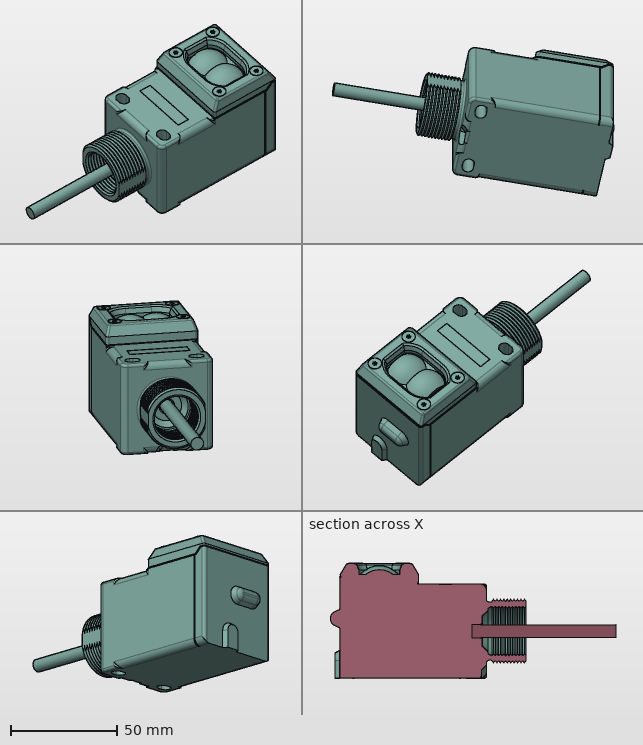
import cadquery as cq
import math


CABLE_END_Y = -61.0

WIDTH = 44.5
HALF_WIDTH = WIDTH / 2
HOUSING_HEIGHT = 44.5
BACK_Y = 69.3
BACK_PLATE_TOP = 47.7
BACK_PLATE_THICKNESS = 2.8
FRONT_CORNER_RADIUS = 3.1
BACK_CORNER_RADIUS = 1.6
EDGE_RADIUS = 1.3

RELIEF_RADIUS = 3.2
RELIEF_END_RADIUS = 2.7
RELIEF_OVERSHOOT = 0.3
RELIEF_UNDER_HEAD = 0.7
FRONT_RELIEF_HALF_LENGTH = 11.7
SIDE_RELIEF_START = 10.1

HEAD_FRONT_Y = 32.0
HEAD_BACK_Y = 69.0
HEAD_LENGTH = HEAD_BACK_Y - HEAD_FRONT_Y
HEAD_CENTER_Y = (HEAD_FRONT_Y + HEAD_BACK_Y) / 2
HEAD_SHOULDER_Z = 49.0
HEAD_TOP_Z = 54.1
HEAD_SIDE_TAPER = 1.7
HEAD_END_TAPER = 3.1
HEAD_EDGE_RADIUS = 1.2

GROOVE_WIDTH = 0.4
GROOVE_DEPTH = 0.4
BACK_GROOVE_Y = 62.5

LENS_SPACING = 12.5
WINDOW_RADIUS = 11.6
WINDOW_HALF_WIDTH = 15.9
WINDOW_RIM_WIDTH = 1.1
WINDOW_RIM_DEPTH = 0.7
WINDOW_WALL_TAPER = 1.0
WINDOW_WALL_DEPTH = 2.4
WINDOW_DEPTH = 5.1
LENS_BASE_RADIUS = 9.0
LENS_HEIGHT = 4.0
LENS_HALF_SPAN = 12.8
LENS_SEAT = 0.4

SCREW_SPACING_X = 33.1
SCREW_SPACING_Y = 22.2
SCREW_RADIUS = 3.16
SCREW_RISE = 0.3
STAR_LENGTH = 2.2
STAR_BAR_WIDTH = 0.3
STAR_DEPTH = 0.5

LABEL_LENGTH = 29.1
LABEL_WIDTH = 6.0
LABEL_Y = 19.4
LABEL_DEPTH = 0.1
SLOT_LENGTH = 7.3
SLOT_WIDTH = 5.4
SLOT_SPACING = 31.0
SLOT_Y = 6.7

NOTCH_MOUTH_APEX_Z = 7.4
NOTCH_MOUTH_TOP_Z = 6.3
NOTCH_FLOOR_APEX_Z = 4.0
NOTCH_FLOOR_TOP_Z = 3.9
NOTCH_DEPTH = 2.4

BUTTON_X = -4.8
BUTTON_Z = 28.1
BUTTON_HEIGHT = 134.6 + CABLE_END_Y - BACK_Y
BUTTON_END_SPACING = 9.4
BUTTON_RADIUS = 4.5
BUTTON_TAPER_ANGLE = 26
BUTTON_TIP_RADIUS = 3.0
BOSS_X = 5.1
BOSS_Z = 8.5
BOSS_RADIUS = 4.7
BOSS_HEIGHT = 2.2
BOSS_TAPER_ANGLE = 30

CABLE_AXIS_Z = HOUSING_HEIGHT / 2
COLLAR_RADIUS = 13.9
COLLAR_FLARE = 1.1
COLLAR_LENGTH = 2.4
THREAD_END_Y = -18.6
THREAD_RADIUS = 15.1
THREAD_DEPTH = 1.0
THREAD_TURNS = 10
THREAD_PITCH = (-COLLAR_LENGTH - THREAD_END_Y) / THREAD_TURNS
THREAD_FLAT_HALF_WIDTH = 13.8
BORE_RADIUS = 10.6
CONE_MOUTH_Y = -0.7
CONE_MOUTH_RADIUS = 9.7
CONE_FLOOR_RADIUS = 7.1
CONE_DEPTH = 2.7
CABLE_RADIUS = 3.1
CABLE_INNER_Y = 6.7
CABLE_SINK = 0.7


def box(x0, x1, y0, y1, z0, z1):
    """Axis-aligned block between two corners."""
    return cq.Workplane("XY").box(x1 - x0, y1 - y0, z1 - z0, centered=False).translate((x0, y0, z0))


def cable_plane(y):
    """Work plane on the cable axis at height y along it, facing -Y."""
    return cq.Workplane("XZ", origin=(0, y, CABLE_AXIS_Z))


def make_block():
    """Main block, with a back plate that rises behind the head."""
    front = box(-HALF_WIDTH, HALF_WIDTH, 0, HEAD_FRONT_Y, 0, HOUSING_HEIGHT)
    front = front.edges("|Z and <Y").fillet(FRONT_CORNER_RADIUS)
    front = front.edges("(>Z or <Z) and (not >Y)").fillet(EDGE_RADIUS)

    plate_front_y = BACK_Y - BACK_PLATE_THICKNESS
    rise = BACK_PLATE_TOP - HOUSING_HEIGHT
    rear = (
        cq.Workplane("YZ", origin=(-HALF_WIDTH, 0, 0))
        .polyline([
            (HEAD_FRONT_Y, 0),
            (BACK_Y, 0),
            (BACK_Y, BACK_PLATE_TOP),
            (plate_front_y, BACK_PLATE_TOP),
            (plate_front_y - rise, HOUSING_HEIGHT),
            (HEAD_FRONT_Y, HOUSING_HEIGHT),
        ])
        .close()
        .extrude(WIDTH)
        .edges("|Z and >Y")
        .fillet(BACK_CORNER_RADIUS)
    )
    return front.union(rear)


def edge_relief(start, end, origin, along, up):
    """Cutter that rounds one edge from start to end, leaving round-cornered pads beyond both ends."""
    depth = RELIEF_RADIUS
    over = RELIEF_OVERSHOOT
    bend = RELIEF_END_RADIUS
    bend_mid = bend * math.sqrt(0.5)
    prism = (
        cq.Workplane("XY", origin=(0, 0, -depth))
        .moveTo(start, over)
        .lineTo(end, over)
        .lineTo(end, 0)
        .threePointArc((end - bend_mid, bend_mid - bend), (end - bend, -bend))
        .lineTo(end - bend, -depth)
        .lineTo(start + bend, -depth)
        .lineTo(start + bend, -bend)
        .threePointArc((start + bend_mid, bend_mid - bend), (start, 0))
        .close()
        .extrude(depth + over)
    )
    round_core = (
        cq.Workplane("YZ", origin=(start, 0, 0))
        .center(-depth, -depth)
        .circle(depth)
        .extrude(end - start)
    )
    place = cq.Location(cq.Plane(origin=origin, xDir=along, normal=up))
    return prism.cut(round_core).val().moved(place)


def cut_reliefs(body):
    top = HOUSING_HEIGHT
    half = FRONT_RELIEF_HALF_LENGTH
    side_top_end = HEAD_FRONT_Y + RELIEF_UNDER_HEAD
    side_bottom_end = BACK_Y + RELIEF_RADIUS
    up = (0, 0, 1)
    down = (0, 0, -1)

    body = body.cut(edge_relief(-half, half, (0, 0, top), (-1, 0, 0), up))
    body = body.cut(edge_relief(-half, half, (0, 0, 0), (1, 0, 0), down))

    left = (-HALF_WIDTH, 0)
    right = (HALF_WIDTH, 0)
    body = body.cut(edge_relief(SIDE_RELIEF_START, side_top_end, (*left, top), (0, 1, 0), up))
    body = body.cut(edge_relief(-side_top_end, -SIDE_RELIEF_START, (*right, top), (0, -1, 0), up))
    body = body.cut(edge_relief(-side_bottom_end, -SIDE_RELIEF_START, (*left, 0), (0, -1, 0), down))
    body = body.cut(edge_relief(SIDE_RELIEF_START, side_bottom_end, (*right, 0), (0, 1, 0), down))
    return body


def crown_prism(plane, half_base, taper):
    """Long trapezoid prism between shoulder and top, centred on the origin of its plane."""
    return (
        plane.polyline([
            (-half_base, HEAD_SHOULDER_Z),
            (half_base, HEAD_SHOULDER_Z),
            (half_base - taper, HEAD_TOP_Z),
            (-half_base + taper, HEAD_TOP_Z),
        ])
        .close()
        .extrude(WIDTH, both=True)
    )


def make_head():
    """Block with a tapered crown, rounded along its corners and around its top."""
    lower = box(-HALF_WIDTH, HALF_WIDTH, HEAD_FRONT_Y, HEAD_BACK_Y, HOUSING_HEIGHT, HEAD_SHOULDER_Z)
    lower = lower.edges("|Z").fillet(HEAD_EDGE_RADIUS)
    center = (0, HEAD_CENTER_Y, 0)
    across = crown_prism(cq.Workplane("XZ", origin=center), HALF_WIDTH, HEAD_SIDE_TAPER)
    along = crown_prism(cq.Workplane("YZ", origin=center), HEAD_LENGTH / 2, HEAD_END_TAPER)
    crown = across.intersect(along).edges("not <Z").fillet(HEAD_EDGE_RADIUS)
    plate_space = box(
        -HALF_WIDTH,
        HALF_WIDTH,
        BACK_Y - BACK_PLATE_THICKNESS,
        BACK_Y,
        HOUSING_HEIGHT,
        BACK_PLATE_TOP,
    )
    return lower.union(crown).cut(plate_space)


def cut_parting_grooves(body):
    """Shallow grooves around the foot of the head and down both sides near the back."""
    plate_front_y = BACK_Y - BACK_PLATE_THICKNESS
    foot_z = HOUSING_HEIGHT + GROOVE_WIDTH
    step_z = BACK_PLATE_TOP + GROOVE_WIDTH
    front_y = HEAD_FRONT_Y - GROOVE_WIDTH
    back_y = BACK_Y + GROOVE_WIDTH
    head_profile = [
        (front_y, foot_z),
        (plate_front_y - (step_z - foot_z), foot_z),
        (plate_front_y, step_z),
        (back_y, step_z),
        (back_y, HEAD_TOP_Z),
        (front_y, HEAD_TOP_Z),
    ]

    def profile():
        return cq.Workplane("YZ", origin=(-HALF_WIDTH, 0, 0)).polyline(head_profile).close()

    head_space = profile().extrude(WIDTH)
    grown_space = profile().offset2D(GROOVE_WIDTH, "intersection").extrude(WIDTH)
    ring = grown_space.cut(head_space)
    core_half = HALF_WIDTH - GROOVE_DEPTH
    core = box(
        -core_half,
        core_half,
        HEAD_FRONT_Y + GROOVE_DEPTH,
        HEAD_BACK_Y - GROOVE_DEPTH,
        0,
        HEAD_TOP_Z,
    )
    side_groove = box(
        -HALF_WIDTH,
        HALF_WIDTH,
        BACK_GROOVE_Y,
        BACK_GROOVE_Y + GROOVE_WIDTH,
        0,
        HOUSING_HEIGHT,
    )
    rounded_core = core.edges("|Y and <Z").fillet(RELIEF_RADIUS)
    return body.cut(ring.cut(core)).cut(side_groove.cut(rounded_core))


def window_level(inset, z):
    """Wire of the window outline, drawn in by an inset: two arcs closed by flat sides and ends."""
    radius = WINDOW_RADIUS - inset
    side = WINDOW_HALF_WIDTH - inset
    arc_x = LENS_SPACING / 2
    reach = side - arc_x
    corner_y = math.sqrt(radius**2 - reach**2)
    middle = math.radians(90) - math.asin(reach / radius) / 2
    mid_x = arc_x + radius * math.cos(middle)
    mid_y = radius * math.sin(middle)
    return (
        cq.Workplane("XY", origin=(0, HEAD_CENTER_Y, z))
        .moveTo(-arc_x, radius)
        .lineTo(arc_x, radius)
        .threePointArc((mid_x, mid_y), (side, corner_y))
        .lineTo(side, -corner_y)
        .threePointArc((mid_x, -mid_y), (arc_x, -radius))
        .lineTo(-arc_x, -radius)
        .threePointArc((-mid_x, -mid_y), (-side, -corner_y))
        .lineTo(-side, corner_y)
        .threePointArc((-mid_x, mid_y), (-arc_x, radius))
        .close()
        .val()
    )


def make_window():
    """Cutter for the window: a sloped rim, a tapered wall and a straight wall down to the floor."""
    wall_inset = WINDOW_RIM_WIDTH + WINDOW_WALL_TAPER
    wall_z = HEAD_TOP_Z - WINDOW_RIM_DEPTH - WINDOW_WALL_DEPTH
    levels = [
        window_level(0, HEAD_TOP_Z),
        window_level(WINDOW_RIM_WIDTH, HEAD_TOP_Z - WINDOW_RIM_DEPTH),
        window_level(wall_inset, wall_z),
        window_level(wall_inset, HEAD_TOP_Z - WINDOW_DEPTH),
    ]
    return cq.Workplane(cq.Solid.makeLoft(levels, True))


def make_lenses():
    """Two spherical domes side by side that meet at X = 0, trimmed at their outer sides."""
    sphere_radius = (LENS_BASE_RADIUS**2 + LENS_HEIGHT**2) / (2 * LENS_HEIGHT)
    floor_z = HEAD_TOP_Z - WINDOW_DEPTH
    center_z = floor_z + LENS_HEIGHT - sphere_radius
    domes = (
        cq.Workplane("XY", origin=(0, HEAD_CENTER_Y, center_z))
        .pushPoints([(-LENS_SPACING / 2, 0), (LENS_SPACING / 2, 0)])
        .sphere(sphere_radius)
    )
    seat_z = floor_z - LENS_SEAT
    trim = box(-LENS_HALF_SPAN, LENS_HALF_SPAN, HEAD_FRONT_Y, HEAD_BACK_Y, seat_z, HEAD_TOP_Z)
    return domes.intersect(trim)


def add_screws(body):
    """Four low screw heads, each with a six-pointed star recess."""
    heads = (
        cq.Workplane("XY", origin=(0, HEAD_CENTER_Y, HEAD_TOP_Z - HEAD_EDGE_RADIUS))
        .rarray(SCREW_SPACING_X, SCREW_SPACING_Y, 2, 2)
        .circle(SCREW_RADIUS)
        .extrude(HEAD_EDGE_RADIUS + SCREW_RISE)
    )
    body = body.union(heads)
    for angle in (0, 60, 120):
        bars = (
            cq.Workplane("XY", origin=(0, HEAD_CENTER_Y, HEAD_TOP_Z + SCREW_RISE))
            .rarray(SCREW_SPACING_X, SCREW_SPACING_Y, 2, 2)
            .slot2D(STAR_LENGTH, STAR_BAR_WIDTH, angle)
            .extrude(-STAR_DEPTH)
        )
        body = body.cut(bars)
    return body


def cut_label_and_slots(body):
    top = cq.Workplane("XY", origin=(0, 0, HOUSING_HEIGHT))
    label = top.center(0, LABEL_Y).rect(LABEL_LENGTH, LABEL_WIDTH).extrude(-LABEL_DEPTH)
    slots = (
        top.center(0, SLOT_Y)
        .pushPoints([(-SLOT_SPACING / 2, 0), (SLOT_SPACING / 2, 0)])
        .slot2D(SLOT_LENGTH, SLOT_WIDTH)
        .extrude(-HOUSING_HEIGHT)
    )
    return body.cut(label).cut(slots)


def notch_outline(plane, apex_z, top_z):
    """Upright triangle with 45 degree flanks that would meet at apex_z, cut off flat at top_z."""
    foot = apex_z
    tip = apex_z - top_z
    return plane.polyline([(-foot, 0), (foot, 0), (tip, top_z), (-tip, top_z)]).close()


def cut_notch(body):
    """Triangular notch with sloped flanks, whose floor rounds over into the underside."""
    mouth = notch_outline(cq.Workplane("XZ"), NOTCH_MOUTH_APEX_Z, NOTCH_MOUTH_TOP_Z)
    floor_plane = mouth.workplane(offset=-NOTCH_DEPTH, origin=(0, 0, 0))
    notch = notch_outline(floor_plane, NOTCH_FLOOR_APEX_Z, NOTCH_FLOOR_TOP_Z).loft(ruled=True)

    half = NOTCH_FLOOR_APEX_Z - EDGE_RADIUS / 2
    back_y = NOTCH_DEPTH + EDGE_RADIUS
    foot_block = box(-half, half, NOTCH_DEPTH, back_y, 0, EDGE_RADIUS)
    round_edge = cq.Solid.makeCylinder(
        EDGE_RADIUS,
        2 * half,
        cq.Vector(-half, back_y, EDGE_RADIUS),
        cq.Vector(1, 0, 0),
    )
    return body.cut(notch).cut(foot_block.cut(cq.Workplane(round_edge)))


def make_button():
    """Tapered oblong button on the back face."""
    return (
        cq.Workplane("XZ", origin=(BUTTON_X, BACK_Y, BUTTON_Z))
        .slot2D(BUTTON_END_SPACING + 2 * BUTTON_RADIUS, 2 * BUTTON_RADIUS)
        .extrude(-BUTTON_HEIGHT, taper=BUTTON_TAPER_ANGLE)
        .faces(">Y")
        .edges()
        .fillet(BUTTON_TIP_RADIUS)
    )


def make_boss():
    """Tapered, round-topped boss that runs down to the underside."""
    foot_z = -BOSS_RADIUS
    tapered = (
        cq.Workplane("XZ", origin=(BOSS_X, BACK_Y, 0))
        .moveTo(-BOSS_RADIUS, foot_z)
        .lineTo(-BOSS_RADIUS, BOSS_Z)
        .threePointArc((0, BOSS_Z + BOSS_RADIUS), (BOSS_RADIUS, BOSS_Z))
        .lineTo(BOSS_RADIUS, foot_z)
        .close()
        .extrude(-BOSS_HEIGHT, taper=BOSS_TAPER_ANGLE)
    )
    above_underside = box(-HALF_WIDTH, HALF_WIDTH, 0, BACK_Y + BOSS_HEIGHT, 0, HOUSING_HEIGHT)
    return tapered.intersect(above_underside)


def thread_outline(start_radius, turn_radius):
    """Zigzag of (radius, y) points along the thread, from the open end to the collar."""
    points = []
    for turn in range(THREAD_TURNS):
        y = THREAD_END_Y + turn * THREAD_PITCH
        points.append((start_radius, y))
        points.append((turn_radius, y + THREAD_PITCH / 2))
    points.append((start_radius, -COLLAR_LENGTH))
    return points


def revolve_on_cable_axis(profile):
    """Solid of revolution about the cable axis from (radius, y) points."""
    return (
        cq.Workplane("XY")
        .polyline(profile)
        .close()
        .revolve(360, (0, 0, 0), (0, 1, 0))
        .translate((0, 0, CABLE_AXIS_Z))
    )


def make_collar():
    """Short neck that flares out where it meets the front face."""
    flare_mid = COLLAR_FLARE * (1 - math.sqrt(0.5))
    return (
        cq.Workplane("XY")
        .moveTo(0, 0)
        .lineTo(COLLAR_RADIUS + COLLAR_FLARE, 0)
        .threePointArc((COLLAR_RADIUS + flare_mid, -flare_mid), (COLLAR_RADIUS, -COLLAR_FLARE))
        .lineTo(COLLAR_RADIUS, -COLLAR_LENGTH)
        .lineTo(0, -COLLAR_LENGTH)
        .close()
        .revolve(360, (0, 0, 0), (0, 1, 0))
        .translate((0, 0, CABLE_AXIS_Z))
    )


def add_nipple(body):
    """Collar and externally threaded nipple with two side flats."""
    teeth = thread_outline(THREAD_RADIUS - THREAD_DEPTH, THREAD_RADIUS)
    nipple = revolve_on_cable_axis([(0, THREAD_END_Y), *teeth, (0, -COLLAR_LENGTH)])
    flat_x = THREAD_FLAT_HALF_WIDTH
    nipple = nipple.intersect(box(-flat_x, flat_x, THREAD_END_Y, 0, 0, HOUSING_HEIGHT))
    return body.union(make_collar()).union(nipple)


def cut_cable_entry(body):
    """Threaded bore, conical bottom and the countersunk seat of the cable."""
    cone_floor_y = CONE_MOUTH_Y + CONE_DEPTH
    profile = [
        (0, THREAD_END_Y),
        *thread_outline(BORE_RADIUS + THREAD_DEPTH, BORE_RADIUS),
        (BORE_RADIUS, CONE_MOUTH_Y),
        (CONE_MOUTH_RADIUS, CONE_MOUTH_Y),
        (CONE_FLOOR_RADIUS, cone_floor_y),
        (CABLE_RADIUS + CABLE_SINK, cone_floor_y),
        (CABLE_RADIUS, cone_floor_y + CABLE_SINK),
        (CABLE_RADIUS, CABLE_INNER_Y),
        (0, CABLE_INNER_Y),
    ]
    return body.cut(revolve_on_cable_axis(profile))


def make_housing():
    body = make_block()
    body = body.union(make_head())
    body = cut_reliefs(body)
    body = cut_parting_grooves(body)
    body = body.cut(make_window())
    body = body.union(make_lenses())
    body = add_screws(body)
    body = cut_label_and_slots(body)
    body = cut_notch(body)
    body = body.union(make_button()).union(make_boss())
    body = add_nipple(body)
    return cut_cable_entry(body)


def make_cable():
    """Straight round cable seated in the floor of the collar bore."""
    return cable_plane(CABLE_INNER_Y).circle(CABLE_RADIUS).extrude(CABLE_INNER_Y - CABLE_END_Y)


housing = make_housing()
cable = make_cable()
result = cq.Compound.makeCompound([housing.val(), cable.val()])